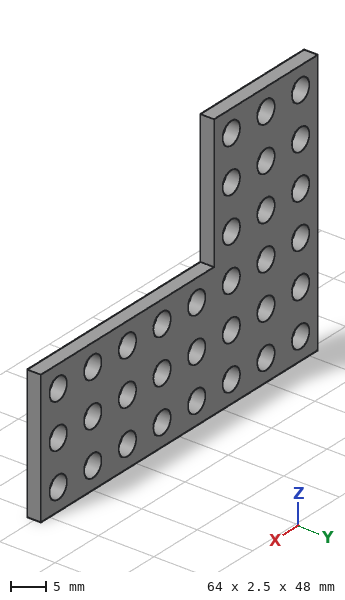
import cadquery as cq

pitch = 8.0
columns = 8
rows = 6
arm_cells = 3
thickness = 2.5
hole_diameter = pitch / 2

length = columns * pitch
height = rows * pitch
arm_width = arm_cells * pitch

plate = (
    cq.Workplane("XZ")
    .polyline([
        (0, 0),
        (length, 0),
        (length, arm_width),
        (arm_width, arm_width),
        (arm_width, height),
        (0, height),
    ])
    .close()
    .extrude(-thickness)
)

hole_centres = [
    ((column + 0.5) * pitch, (row + 0.5) * pitch)
    for column in range(columns)
    for row in range(rows)
    if column < arm_cells or row < arm_cells
]
holes = (
    cq.Workplane("XZ")
    .pushPoints(hole_centres)
    .circle(hole_diameter / 2)
    .extrude(-thickness)
)

result = plate.cut(holes)